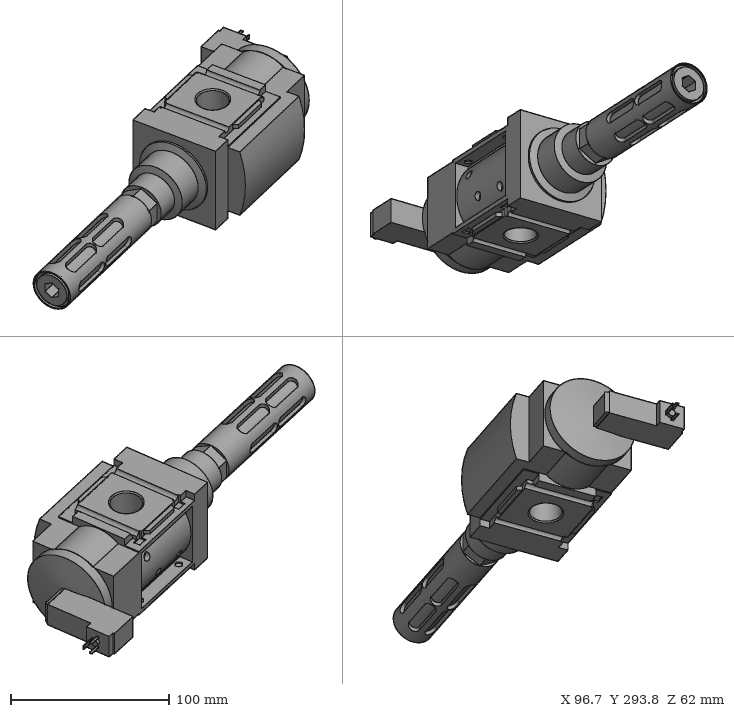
import cadquery as cq
import math


housing_size = 62.0
half_size = housing_size / 2
housing_back = 76.5
adapter_seam = 84.3
adapter_back = 105.0
adapter_flat = 25.0
bulge_half_width = 15.0
bulge_top = 30.3

notch_front = 14.5
notch_floor = 26.0
plate_half_width = 24.5
back_pad_half_width = 20.0
back_pad_front = 67.5
lip_front = 32.5
lip_back = 59.5
lip_width = 3.2
lip_corner = 2.4
lip_bottom = 27.3
lip_top = 30.3

groove_centers = (23.8, 67.3)
groove_radius = 2.5
recess_x = -25.3
recess_width = 4.7
recess_length = 6.8
recess_depth = 1.2
recess_hole_diameter = 5.0

port_y = 45.5
port_diameter = 21.0
port_mouth_diameter = 22.5
port_depth = 17.5

window_front = 17.0
window_back = 73.5
window_half_height = 22.5
window_floor_x = -21.5
core_diameter = 60.0
screw_hole_diameter = 5.5
screw_hole_depth = 3.0
screw_holes = ((27.5, -11.0), (51.5, -8.5), (63.0, 11.2))

cover_edge_x = 40.0
cover_crown_x = 44.23

cap_rim_y = 112.3
cap_crown_y = 116.0

flange_diameter = 50.0
flange_rim_end = -1.5
flange_end = -3.2
collar_diameter = 40.0
collar_rim_end = -22.0
collar_end = -23.2
neck_diameter = 30.0
neck_end = -39.0

solenoid_left = -52.45
solenoid_width = 16.8
solenoid_bottom = 114.3
solenoid_top = 135.0
end_plate_x = 1.2
solenoid_end_x = -1.0
end_plate_width = 15.3
catch_x = 1.8
catch_top = 133.0
catch_bottom = 131.5
plug_left = -51.5
plug_right = -34.0
plug_top = 139.3
boss_diameter = 5.0
boss_height = 2.4
boss_x = -41.5
contact_x = -42.5
contact_z = 4.03
contact_width = 2.0
blade_thickness = 0.5
contact_tip = 147.2
ground_x = -38.5
ground_width = 3.0
ground_tip = 149.3

hex_flats = 24.0
hex_end = -48.8
tube_diameter = 28.0
tube_end = -144.5
end_groove_outer_diameter = 26.2
end_groove_inner_diameter = 22.5
end_groove_depth = 2.0
silencer_core_diameter = end_groove_inner_diameter
slot_width = 7.3
slot_length = 30.5
slot_centers = (-87.5, -119.3)
slot_offset = 6.0
socket_flats = 10.0
socket_depth = 14.7
socket_hole_diameter = 6.0
socket_hole_depth = 20.5


def box_between(x0, x1, y0, y1, z0, z1):
    return cq.Workplane("XY").box(x1 - x0, y1 - y0, z1 - z0, centered=False).translate((x0, y0, z0))


def rod(diameter, y_start, y_end):
    """Cylinder on the main axis, running from y_start back to y_end."""
    start = cq.Workplane("XZ", origin=(0, y_start, 0))
    return start.circle(diameter / 2).extrude(y_start - y_end)


def hex_rod(flats, y_start, y_end):
    """Hexagonal bar on the main axis with corners at top and bottom."""
    corner_diameter = flats / math.cos(math.pi / 6)
    bar = cq.Workplane("XZ", origin=(0, y_start, 0)).polygon(6, corner_diameter).extrude(y_start - y_end)
    return bar.rotate((0, 0, 0), (0, 1, 0), 90)


def make_top_and_bottom(shape):
    return shape.union(shape.mirror("XY"))


def make_housing_block():
    front = box_between(-half_size, half_size, 0, housing_back, -half_size, half_size)
    back = (
        cq.Workplane("XZ", origin=(0, adapter_back, 0))
        .moveTo(-half_size, -adapter_flat)
        .lineTo(-bulge_half_width, -adapter_flat)
        .threePointArc((0, -bulge_top), (bulge_half_width, -adapter_flat))
        .lineTo(half_size, -adapter_flat)
        .lineTo(half_size, adapter_flat)
        .lineTo(bulge_half_width, adapter_flat)
        .threePointArc((0, bulge_top), (-bulge_half_width, adapter_flat))
        .lineTo(-half_size, adapter_flat)
        .close()
        .extrude(adapter_back - housing_back)
    )
    return front.union(back)


def make_edge_notches():
    """Notches along the four long edges, leaving a lip on each plate side."""
    notch = box_between(plate_half_width, half_size, notch_front, housing_back, notch_floor, half_size)
    back_notch = box_between(
        back_pad_half_width, half_size, back_pad_front, housing_back, notch_floor, half_size
    )
    lip_edge = plate_half_width + lip_width
    lip = (
        cq.Workplane("XY", origin=(0, 0, lip_bottom))
        .polyline([
            (plate_half_width, lip_front - lip_corner),
            (lip_edge, lip_front),
            (lip_edge, lip_back),
            (plate_half_width, lip_back + lip_corner),
        ])
        .close()
        .extrude(lip_top - lip_bottom)
    )
    right_notch = notch.union(back_notch).cut(lip)
    return make_top_and_bottom(right_notch.union(right_notch.mirror("YZ")))


def make_groove(center_y):
    """Half-round groove across the top and bottom plates."""
    groove = (
        cq.Workplane("YZ", origin=(-half_size, center_y, half_size))
        .circle(groove_radius)
        .extrude(housing_size)
    )
    return make_top_and_bottom(groove)


def make_groove_recesses(center_y):
    """Recess in the notch floor and a round recess behind it in the window wall."""
    outer = box_between(
        recess_x - recess_width / 2, recess_x + recess_width / 2,
        center_y - recess_length / 2, center_y + recess_length / 2,
        notch_floor - recess_depth, half_size,
    )
    inner = (
        cq.Workplane("XY", origin=(recess_x, center_y, window_half_height))
        .circle(recess_hole_diameter / 2)
        .extrude(recess_depth)
    )
    return make_top_and_bottom(outer.union(inner))


def make_ports():
    mouth_depth = (port_mouth_diameter - port_diameter) / 2
    port = (
        cq.Workplane("XY", origin=(0, port_y, half_size - port_depth))
        .circle(port_diameter / 2)
        .extrude(port_depth)
        .union(cq.Workplane(cq.Solid.makeCone(
            port_diameter / 2, port_mouth_diameter / 2, mouth_depth,
            pnt=cq.Vector(0, port_y, half_size - mouth_depth),
        )))
    )
    return make_top_and_bottom(port)


def make_window():
    """Side opening whose floor is the round core with a few screw holes."""
    opening = box_between(
        -half_size, window_floor_x, window_front, window_back, -window_half_height, window_half_height
    )
    window = opening.cut(rod(core_diameter, window_back, window_front))
    for hole_y, hole_z in screw_holes:
        surface_x = -math.sqrt((core_diameter / 2) ** 2 - hole_z ** 2)
        hole = (
            cq.Workplane("YZ", origin=(-half_size, hole_y, hole_z))
            .circle(screw_hole_diameter / 2)
            .extrude(surface_x + screw_hole_depth + half_size)
        )
        window = window.union(hole)
    return window


def make_side_cover():
    return (
        cq.Workplane("XZ", origin=(0, adapter_seam, 0))
        .moveTo(half_size, -adapter_flat)
        .lineTo(cover_edge_x, -adapter_flat)
        .threePointArc((cover_crown_x, 0), (cover_edge_x, adapter_flat))
        .lineTo(half_size, adapter_flat)
        .close()
        .extrude(adapter_seam - notch_front)
    )


def make_end_cap():
    """Round cap with a shallow dome."""
    radius = core_diameter / 2
    dome_height = cap_crown_y - cap_rim_y
    dome_radius = (radius ** 2 + dome_height ** 2) / (2 * dome_height)
    mid_x = radius / 2
    mid_y = cap_crown_y - dome_radius + math.sqrt(dome_radius ** 2 - mid_x ** 2)
    return (
        cq.Workplane("XY")
        .moveTo(0, adapter_back)
        .lineTo(radius, adapter_back)
        .lineTo(radius, cap_rim_y)
        .threePointArc((mid_x, mid_y), (0, cap_crown_y))
        .close()
        .revolve(360, (0, 0, 0), (0, 1, 0))
    )


def make_outlet():
    """Flange, collar and neck, each face tapering to the next diameter."""
    return (
        cq.Workplane("XY")
        .polyline([
            (0, 0),
            (flange_diameter / 2, 0),
            (flange_diameter / 2, flange_rim_end),
            (collar_diameter / 2, flange_end),
            (collar_diameter / 2, collar_rim_end),
            (neck_diameter / 2, collar_end),
            (neck_diameter / 2, neck_end),
            (0, neck_end),
        ])
        .close()
        .revolve(360, (0, 0, 0), (0, 1, 0))
    )


def make_solenoid():
    body = (
        cq.Workplane("XY", origin=(0, 0, -solenoid_width / 2))
        .polyline([
            (solenoid_left, solenoid_bottom),
            (solenoid_end_x, solenoid_bottom),
            (solenoid_end_x, solenoid_top),
            (plug_right, solenoid_top),
            (plug_right, plug_top),
            (plug_left, plug_top),
            (plug_left, solenoid_top),
            (solenoid_left, solenoid_top),
        ])
        .close()
        .extrude(solenoid_width)
    )
    end_plate = (
        cq.Workplane("XY", origin=(0, 0, -end_plate_width / 2))
        .polyline([
            (solenoid_end_x, solenoid_bottom),
            (end_plate_x, solenoid_bottom),
            (end_plate_x, catch_bottom),
            (catch_x, catch_top),
            (solenoid_end_x, solenoid_top),
        ])
        .close()
        .extrude(end_plate_width)
    )
    boss = rod(boss_diameter, plug_top + boss_height, plug_top).translate((boss_x, 0, 0))
    ground = box_between(
        ground_x - blade_thickness / 2, ground_x + blade_thickness / 2,
        plug_top, ground_tip, -ground_width / 2, ground_width / 2,
    )
    solenoid = body.union(end_plate).union(boss).union(ground)
    for blade_z in (-contact_z, contact_z):
        blade = box_between(
            contact_x - contact_width / 2, contact_x + contact_width / 2,
            plug_top, contact_tip, blade_z - blade_thickness / 2, blade_z + blade_thickness / 2,
        )
        solenoid = solenoid.union(blade)
    return solenoid


def make_valve():
    valve = make_housing_block().cut(make_edge_notches())
    valve = valve.cut(make_ports()).cut(make_window())
    for center_y in groove_centers:
        valve = valve.cut(make_groove(center_y)).cut(make_groove_recesses(center_y))
    for section in (make_side_cover(), make_end_cap(), make_outlet(), make_solenoid()):
        valve = valve.union(section)
    return valve


def make_slot_cutters():
    """Slots cut square to Z above and below the axis, and square to X at both sides."""
    upper_points = [(x, y) for x in (-slot_offset, slot_offset) for y in slot_centers]
    side_points = [(y, 0) for y in slot_centers]
    upper = (
        cq.Workplane("XY")
        .pushPoints(upper_points)
        .slot2D(slot_length, slot_width, 90)
        .extrude(tube_diameter, both=True)
    )
    sides = (
        cq.Workplane("YZ")
        .pushPoints(side_points)
        .slot2D(slot_length, slot_width)
        .extrude(tube_diameter, both=True)
    )
    return upper.union(sides).cut(rod(silencer_core_diameter, 0, tube_end))


def make_silencer():
    tube = rod(tube_diameter, hex_end, tube_end)
    silencer = hex_rod(hex_flats, neck_end, hex_end).union(tube)
    groove_start = tube_end + end_groove_depth
    end_groove = rod(end_groove_outer_diameter, groove_start, tube_end).cut(
        rod(end_groove_inner_diameter, groove_start, tube_end)
    )
    silencer = silencer.cut(end_groove)
    silencer = silencer.cut(make_slot_cutters())
    socket = hex_rod(socket_flats, tube_end + socket_depth, tube_end)
    socket_hole = rod(socket_hole_diameter, tube_end + socket_hole_depth, tube_end)
    return silencer.cut(socket).cut(socket_hole)


valve = make_valve()
silencer = make_silencer()
result = cq.Compound.makeCompound([valve.val(), silencer.val()])